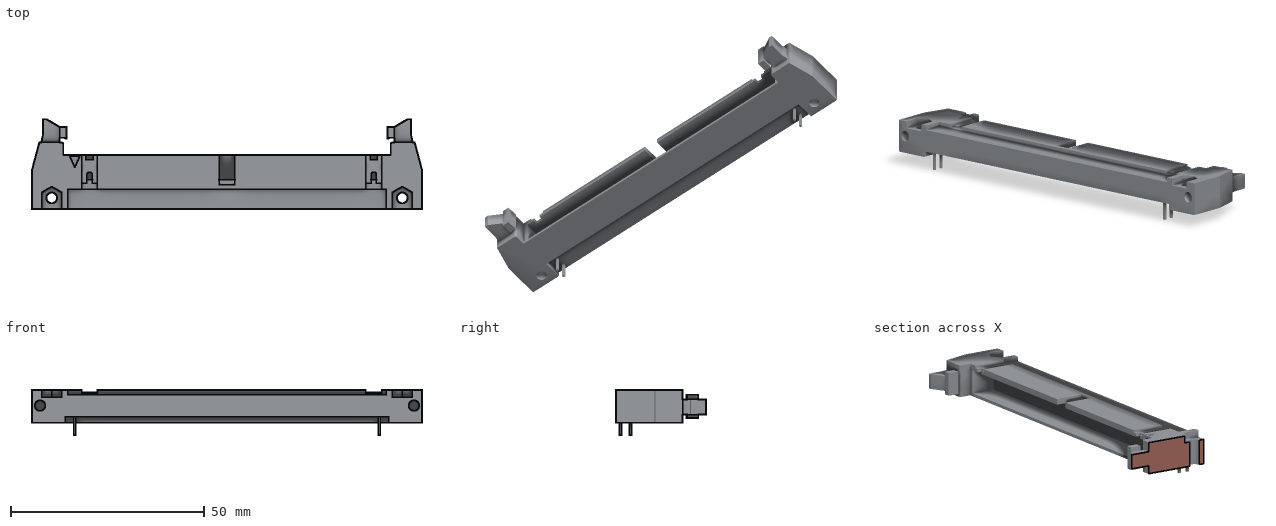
import cadquery as cq
import math

length = 100.9
half_length = length / 2
body_height = 8.5
bar_depth = 14.0

block_depth = 17.3
block_width = 8.2
taper_start_y = 10.1
block_tip_inset = 1.9
block_round = 0.5

step_half_width = 41.2
step_depth = 5.1
step_height = 7.3
recess_half_width = 41.9
recess_height = 1.5

socket_half_width = step_half_width
socket_start_y = 7.6
socket_floor = 0.8
socket_ceiling = 7.0

key_width = 4.0
key_start_y = 6.4

groove_centers = (-35.5, 37.9)
groove_width = 4.0
groove_floor = 7.9
groove_lip_floor = 7.6
groove_lip_y = 6.7
slot_width = 1.4
slot_end_y = 9.6
rear_cut_width = 1.9
rear_cut_depth = 1.2

mount_inset = 5.1
mount_y = 2.9
mount_diameter = 2.7
nut_flats = 5.0
nut_depth = 1.8
nut_corner_radius = nut_flats / math.sqrt(3)
front_hole_inset = 2.1
front_hole_z = 4.4
front_hole_diameter = 2.7
front_hole_depth = 5.0

pin_x = 39.3
pin_rows = (1.2, 3.7)
pin_size = 0.6
pin_drop = 3.2

mark_rear_y = 13.7
mark_width = 2.6
mark_length = 2.9
mark_depth = 0.3

latch_bottom = 2.1
latch_top = 6.1
latch_root_x = 2.4
latch_embed = 0.5
latch_root_y = block_depth - latch_embed
latch_outer_x = 2.8
latch_inner_x = 7.2
latch_bend_y = 19.2
latch_end_y = 23.3
latch_tip_width = 0.9
pad_bottom = 1.2
pad_top = step_height
pad_inner_x = 9.0
pad_front_y = 18.5
pad_rear_y = 21.3
hook_width = 0.7
hook_y = 18.2


def box(x_min, x_max, y_min, y_max, z_min, z_max):
    """Axis-aligned box between the given limits."""
    return (
        cq.Workplane("XY")
        .box(x_max - x_min, y_max - y_min, z_max - z_min, centered=False)
        .translate((x_min, y_min, z_min))
    )


def prism(points, z_min, z_max):
    """Vertical prism on a closed XY outline."""
    return cq.Workplane("XY").workplane(offset=z_min).polyline(points).close().extrude(z_max - z_min)


def left_end(points):
    """Turn distances in from the outer end into X at the left end."""
    return [(x - half_length, y) for x, y in points]


def both_ends(left):
    """A left-end shape together with its mirror image at the right end."""
    return left.union(left.mirror("YZ"))


def end_block():
    """Block with a tapered outer side and a small round on its inner rear edge."""
    outline = [
        (0, 0),
        (0, taper_start_y),
        (block_tip_inset, block_depth),
        (block_width, block_depth),
        (block_width, 0),
    ]
    block = prism(left_end(outline), 0, body_height)
    return block.faces(">X").edges(">Y").fillet(block_round)


def latch():
    arm_outline = [
        (latch_root_x, latch_root_y),
        (latch_root_x, block_depth),
        (latch_outer_x, latch_bend_y),
        (latch_outer_x, latch_end_y),
        (latch_outer_x + latch_tip_width, latch_end_y),
        (latch_inner_x, pad_rear_y),
        (latch_inner_x, latch_root_y),
    ]
    pad_outline = [
        (latch_inner_x, pad_front_y),
        (latch_inner_x, pad_rear_y),
        (pad_inner_x, pad_rear_y),
        (pad_inner_x, hook_y),
        (pad_inner_x - hook_width, pad_front_y),
    ]
    arm = prism(left_end(arm_outline), latch_bottom, latch_top)
    return arm.union(prism(left_end(pad_outline), pad_bottom, pad_top))


def nut_pocket():
    """Half hexagon behind the hole, running out straight through the front face."""
    half = nut_flats / 2
    outline = [
        (mount_inset - half, 0),
        (mount_inset - half, mount_y + nut_corner_radius / 2),
        (mount_inset, mount_y + nut_corner_radius),
        (mount_inset + half, mount_y + nut_corner_radius / 2),
        (mount_inset + half, 0),
    ]
    return prism(left_end(outline), body_height - nut_depth, body_height)


def mount_hole():
    return (
        cq.Workplane("XY")
        .center(mount_inset - half_length, mount_y)
        .circle(mount_diameter / 2)
        .extrude(body_height)
    )


def front_hole():
    return (
        cq.Workplane("XZ")
        .center(front_hole_inset - half_length, front_hole_z)
        .circle(front_hole_diameter / 2)
        .extrude(-front_hole_depth)
    )


def groove(x):
    """Groove across the top wall, with a lower front lip, a round-ended slot and a rear cut."""
    half = groove_width / 2
    channel = box(x - half, x + half, step_depth, bar_depth, groove_floor, body_height)
    lip = box(x - half, x + half, step_depth, groove_lip_y, groove_lip_floor, body_height)
    slot_radius = slot_width / 2
    slot_center_y = slot_end_y - slot_radius
    slot_front = box(
        x - slot_radius, x + slot_radius, groove_lip_y, socket_start_y, groove_lip_floor, body_height
    )
    slot = box(x - slot_radius, x + slot_radius, socket_start_y, slot_center_y, socket_ceiling, body_height)
    slot_end = (
        cq.Workplane("XY")
        .workplane(offset=socket_ceiling)
        .center(x, slot_center_y)
        .circle(slot_radius)
        .extrude(body_height - socket_ceiling)
    )
    rear_cut = box(
        x - rear_cut_width / 2,
        x + rear_cut_width / 2,
        bar_depth - rear_cut_depth,
        bar_depth,
        socket_ceiling,
        body_height,
    )
    return channel.union(lip).union(slot_front).union(slot).union(slot_end).union(rear_cut)


def pin_one_mark():
    outline = [
        (-pin_x - mark_width / 2, mark_rear_y),
        (-pin_x + mark_width / 2, mark_rear_y),
        (-pin_x, mark_rear_y - mark_length),
    ]
    return prism(outline, body_height - mark_depth, body_height)


def pin(x, y):
    half = pin_size / 2
    return box(x - half, x + half, y - half, y + half, -pin_drop, recess_height)


result = box(-half_length + block_width, half_length - block_width, 0, bar_depth, 0, body_height)
result = result.union(both_ends(end_block()))

result = result.cut(box(-step_half_width, step_half_width, 0, step_depth, step_height, body_height))
result = result.cut(box(-recess_half_width, recess_half_width, 0, step_depth, 0, recess_height))

result = result.cut(
    box(-socket_half_width, socket_half_width, socket_start_y, bar_depth, socket_floor, socket_ceiling)
)
result = result.cut(
    box(-key_width / 2, key_width / 2, key_start_y, bar_depth, socket_ceiling, body_height)
)

for center in groove_centers:
    result = result.cut(groove(center))
result = result.cut(pin_one_mark())

for cutter in (nut_pocket(), mount_hole(), front_hole()):
    result = result.cut(both_ends(cutter))

result = result.union(both_ends(latch()))
for x in (-pin_x, pin_x):
    for y in pin_rows:
        result = result.union(pin(x, y))